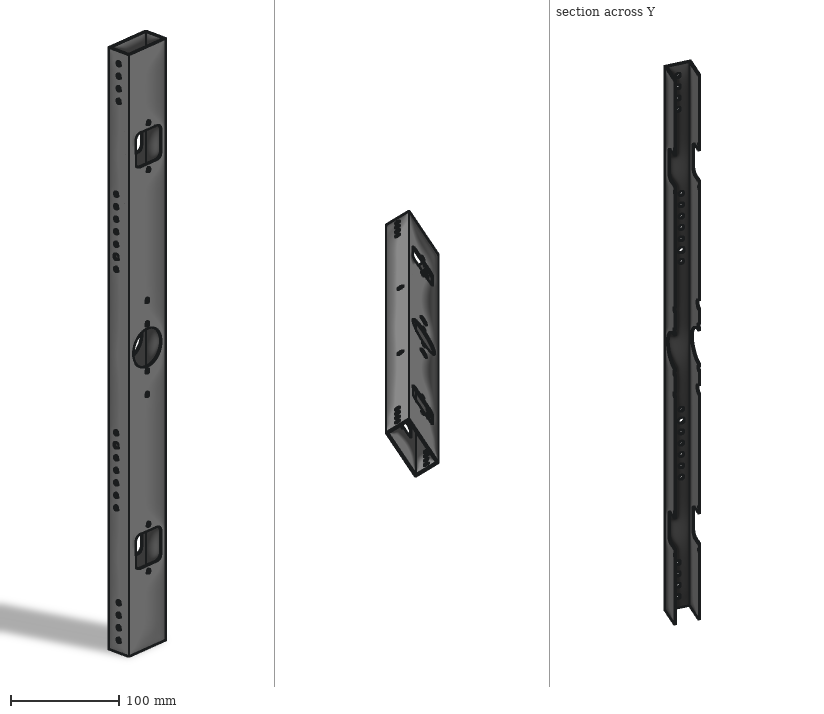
import cadquery as cq

width = 25.4
depth = 50.8
length = 609.6
wall = 1.5875

screw_diameter = 5.0
screw_spacing = 47.6

pitch = 12.7
end_hole_count = 4
row_offset_x = -3.175
row_hole_count = 7
row_start_z = 82.8
pivot_diameter = 6.5
pivot_index = 1

window_size = 34.8
window_corner_radius = 6.0
window_offset_y = 1.6
window_z = 203.4
window_screw_diameter = 4.7

port_diameter = 38.4
mount_spacing = 2 * screw_spacing
mount_access_diameter = 10.0


def make_tube():
    outer = cq.Workplane("XY").box(width, depth, length)
    bore = cq.Workplane("XY").box(width - 2 * wall, depth - 2 * wall, length)
    return outer.cut(bore)


def drill_y(x, z, diameter, travel):
    """Cutter along +Y, starting at the -Y face."""
    solid = cq.Solid.makeCylinder(diameter / 2, travel, cq.Vector(x, -depth / 2, z), cq.Vector(0, 1, 0))
    return cq.Workplane(solid)


def drill_x(y, z, diameter, travel):
    """Cutter along +X, starting at the -X face."""
    solid = cq.Solid.makeCylinder(diameter / 2, travel, cq.Vector(-width / 2, y, z), cq.Vector(1, 0, 0))
    return cq.Workplane(solid)


def cut_end_holes(body, side):
    for index in range(end_hole_count):
        z = side * (length / 2 - (index + 1) * pitch)
        body = body.cut(drill_y(0, z, screw_diameter, depth))
    return body


def cut_hole_row(body, side):
    """One wall only, except the larger pivot hole which passes through both walls."""
    for index in range(row_hole_count):
        z = side * (row_start_z + index * pitch)
        if index == pivot_index:
            cutter = drill_y(row_offset_x, z, pivot_diameter, depth)
        else:
            cutter = drill_y(row_offset_x, z, screw_diameter, depth / 2)
        body = body.cut(cutter)
    return body


def cut_window(body, side):
    z = side * window_z
    window = (
        cq.Workplane("XY")
        .box(width, window_size, window_size)
        .edges("|X")
        .fillet(window_corner_radius)
        .translate((0, window_offset_y, z))
    )
    body = body.cut(window)
    for direction in (-1, 1):
        screw_z = z + direction * screw_spacing / 2
        body = body.cut(drill_x(window_offset_y, screw_z, window_screw_diameter, width))
    return body


def cut_port(body):
    return body.cut(drill_x(0, 0, port_diameter, width))


def cut_port_screws(body, side):
    """Port screw hole, and a mount screw in the far wall reached through a larger hole in the near wall."""
    mount_z = side * mount_spacing / 2
    body = body.cut(drill_x(0, side * screw_spacing / 2, screw_diameter, width))
    body = body.cut(drill_x(0, mount_z, mount_access_diameter, width / 2))
    return body.cut(drill_x(0, mount_z, screw_diameter, width))


result = cut_port(make_tube())
for end in (-1, 1):
    result = cut_end_holes(result, end)
    result = cut_hole_row(result, end)
    result = cut_window(result, end)
    result = cut_port_screws(result, end)